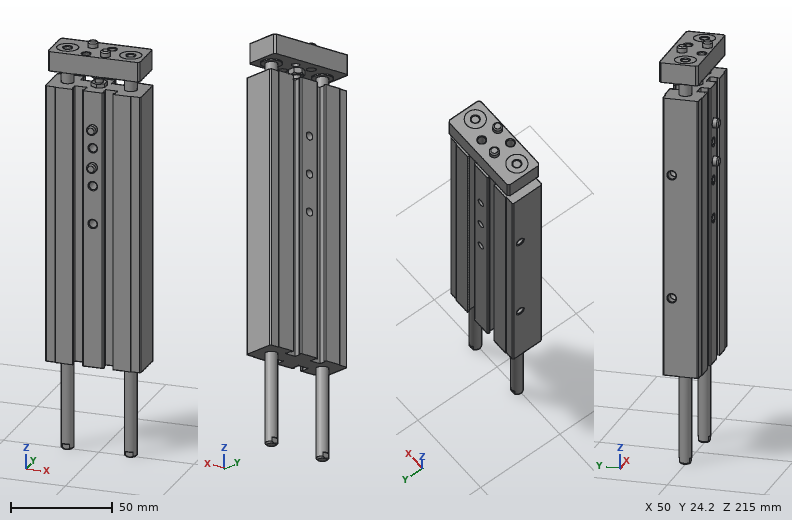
import cadquery as cq
import math


total_height = 215.0
housing_bottom = 48.2
housing_top = 194.0
plate_bottom = 201.7
plate_top = 212.0

housing_width = 50.0
housing_depth = 19.4
face_step = 0.5
raised_half_width = 19.8
housing_chamfer = 0.6

groove_inner_x = 5.5
groove_outer_x = 10.5
groove_depth = 5.2
groove_chamfer = 0.6
groove_lip = 1.3
groove_undercut = 0.6

plate_width = 48.2
plate_front = -8.5
plate_back = 11.5
plate_chamfer = 1.0

rod_spacing = 33.1
rod_diameter = 6.5
rod_head_diameter = 11.0
rod_head_overhang = 0.6
rod_end_chamfer = 0.9
rod_flat_depth = 0.6
rod_flat_length = 3.0

thread_diameter = 5.0
tapped_bore_diameter = 4.0
mouth_chamfer = (thread_diameter - tapped_bore_diameter) / 2
plate_hole_pitch = 10.0
pin_chamfer = 0.75
pin_length = total_height - plate_bottom

first_hole_z = 174.2
hole_row_length = 50.0
pinned_steps = (0, 2)
open_steps = (1, 3, 5)
front_hole_pitch = hole_row_length / max(open_steps)
front_pin_tip = -12.7

port_y = 4.5
port_heights = (153.7, 89.0)
port_depth = 4.3
drill_tip_angle = 118.0

nut_across_flats = 7.0
nut_face_diameter = 6.5
upper_nut_height = 3.2
lower_nut_height = 2.0
neck_diameter = 4.0


def cylinder(point, direction, diameter, length):
    """Solid cylinder that starts at a point and runs along a direction."""
    return cq.Workplane(cq.Solid.makeCylinder(diameter / 2, length, cq.Vector(*point), cq.Vector(*direction)))


def tapped_hole(point, direction, length):
    """Cutter for a bore whose mouth is chamfered out to the thread diameter."""
    mouth = cq.Solid.makeCone(
        thread_diameter / 2, tapped_bore_diameter / 2, mouth_chamfer, cq.Vector(*point), cq.Vector(*direction)
    )
    return cylinder(point, direction, tapped_bore_diameter, length).union(cq.Workplane(mouth))


def make_pin(point, direction):
    """Pin that starts at its chamfered outer tip and runs inwards along a direction."""
    tip = cq.selectors.DirectionMinMaxSelector(cq.Vector(*direction), False)
    shaft = cylinder(point, direction, thread_diameter, pin_length)
    return shaft.faces(tip).chamfer(pin_chamfer)


def make_groove(side, face):
    """Cutter for one groove; side is -1 or 1 in X, face is -1 for the front and 1 for the back."""
    face_y = face * housing_depth / 2
    lip_y = face_y - face * groove_lip
    floor_y = face_y - face * groove_depth
    mouth_inner = side * groove_inner_x
    mouth_outer = side * groove_outer_x
    undercut = side * groove_undercut
    outline = [
        (mouth_outer, face_y),
        (mouth_inner - side * groove_chamfer, face_y),
        (mouth_inner, face_y - face * groove_chamfer),
        (mouth_inner, lip_y),
        (mouth_inner - undercut, lip_y),
        (mouth_inner - undercut, floor_y),
        (mouth_outer + undercut, floor_y),
        (mouth_outer + undercut, lip_y),
        (mouth_outer, lip_y),
    ]
    height = housing_top - housing_bottom
    return cq.Workplane("XY", origin=(0, 0, housing_bottom)).polyline(outline).close().extrude(height)


def make_port(height):
    """Cutter for a side port with a conical drill tip."""
    mouth = (-housing_width / 2, port_y, height)
    tip_start = cq.Vector(port_depth - housing_width / 2, port_y, height)
    tip_radius = tapped_bore_diameter / 2
    tip_length = tip_radius / math.tan(math.radians(drill_tip_angle / 2))
    tip = cq.Solid.makeCone(tip_radius, 0, tip_length, tip_start, cq.Vector(1, 0, 0))
    return tapped_hole(mouth, (1, 0, 0), port_depth).union(cq.Workplane(tip))


def make_housing():
    height = housing_top - housing_bottom
    base = cq.Workplane("XY", origin=(0, 0, housing_bottom))
    body = base.rect(housing_width, housing_depth - 2 * face_step).extrude(height)
    body = body.edges("|Z").chamfer(housing_chamfer)
    body = body.union(base.rect(2 * raised_half_width, housing_depth).extrude(height))
    for side in (-1, 1):
        for face in (-1, 1):
            body = body.cut(make_groove(side, face))
        rod_bore = cylinder((side * rod_spacing / 2, 0, housing_bottom), (0, 0, 1), rod_diameter, height)
        body = body.cut(rod_bore)
    for step in open_steps:
        mouth = (0, -housing_depth / 2, first_hole_z - step * front_hole_pitch)
        body = body.cut(tapped_hole(mouth, (0, 1, 0), housing_depth))
    for step in pinned_steps:
        seat = (0, front_pin_tip, first_hole_z - step * front_hole_pitch)
        body = body.cut(cylinder(seat, (0, 1, 0), thread_diameter, pin_length))
    for port_z in port_heights:
        body = body.cut(make_port(port_z))
    return body


def make_nut(bottom, height):
    """Hexagonal nut with corners towards -Y and +Y."""
    across_corners = nut_across_flats / math.cos(math.pi / 6)
    return (
        cq.Workplane("XY", origin=(0, 0, bottom))
        .transformed(rotate=(0, 0, 90))
        .polygon(6, across_corners)
        .extrude(height)
    )


def make_coupling():
    """Neck with a hexagon at each end, spanning the gap between housing and plate."""
    gap = plate_bottom - housing_top
    neck = cylinder((0, 0, housing_top), (0, 0, 1), neck_diameter, gap)
    upper_bottom = plate_bottom - upper_nut_height
    face_radius = nut_face_diameter / 2
    bevel = cq.Solid.makeCone(
        face_radius, face_radius + upper_nut_height, upper_nut_height, cq.Vector(0, 0, upper_bottom)
    )
    upper = make_nut(upper_bottom, upper_nut_height).intersect(cq.Workplane(bevel))
    lower = make_nut(housing_top, lower_nut_height)
    return neck.union(upper).union(lower)


def make_plate():
    """End plate in one piece with the coupling below it."""
    thickness = plate_top - plate_bottom
    middle_y = (plate_front + plate_back) / 2
    body = (
        cq.Workplane("XY", origin=(0, middle_y, plate_bottom))
        .rect(plate_width, plate_back - plate_front)
        .extrude(thickness)
        .edges("|Z")
        .chamfer(plate_chamfer)
    )
    for side in (-1, 1):
        x = side * plate_hole_pitch / 2
        open_mouth = (x, side * plate_hole_pitch / 2, plate_top)
        body = body.cut(tapped_hole(open_mouth, (0, 0, -1), thickness))
        pin_seat = (x, -side * plate_hole_pitch / 2, plate_bottom)
        body = body.cut(cylinder(pin_seat, (0, 0, 1), thread_diameter, thickness))
        head_seat = (side * rod_spacing / 2, 0, plate_bottom)
        body = body.cut(cylinder(head_seat, (0, 0, 1), rod_head_diameter, thickness))
    return body.union(make_coupling())


def make_rod(x):
    """Guide rod with two flats at its lower end and a head, shallowly recessed, that fills its plate hole."""
    rod = cylinder((x, 0, 0), (0, 0, 1), rod_diameter, plate_bottom).faces("<Z").chamfer(rod_end_chamfer)
    flat_y = rod_diameter / 2 - rod_flat_depth
    for side in (-1, 1):
        beyond_flat = cq.Workplane("XY", origin=(x, side * (flat_y + rod_diameter / 2), 0))
        rod = rod.cut(beyond_flat.rect(rod_diameter, rod_diameter).extrude(rod_flat_length))
    head_bottom = plate_bottom - rod_head_overhang
    head = cylinder((x, 0, head_bottom), (0, 0, 1), rod_head_diameter, plate_top - head_bottom)
    recess = tapped_hole((x, 0, plate_top), (0, 0, -1), mouth_chamfer)
    return rod.union(head).cut(recess)


housing = make_housing()
plate = make_plate()
rods = [make_rod(side * rod_spacing / 2) for side in (-1, 1)]
plate_pins = [
    make_pin((side * plate_hole_pitch / 2, -side * plate_hole_pitch / 2, total_height), (0, 0, -1))
    for side in (-1, 1)
]
front_pins = [
    make_pin((0, front_pin_tip, first_hole_z - step * front_hole_pitch), (0, 1, 0)) for step in pinned_steps
]

bodies = [housing, plate, *rods, *plate_pins, *front_pins]
result = cq.Compound.makeCompound([body.val() for body in bodies])